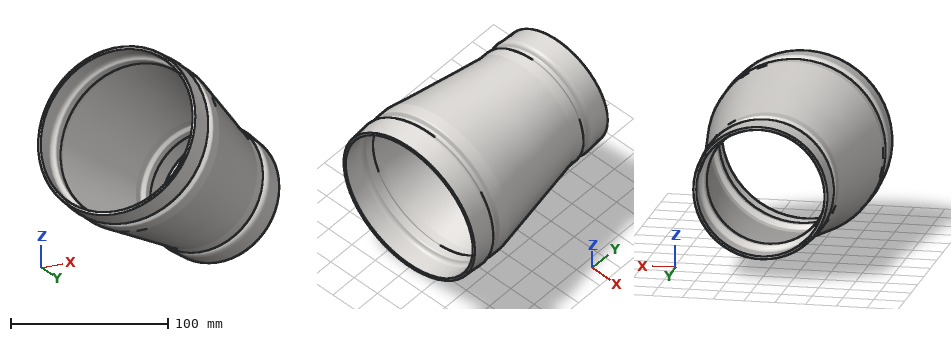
import cadquery as cq
import math

LENGTH = 139.7
WALL = 2.0

LARGE_DIAMETERS = (114.3, 114.8, 108.8)
SMALL_DIAMETERS = (88.8, 89.1, 83.1)
RIM_TAPER = 1.0

BEAD_START = 14.8
FLOOR_START = 19.8
FLOOR_END = 21.0
COLLAR_END = 31.9

BEAD_RADIUS = 4.0
FOOT_RADIUS = 1.19
CREST_RADIUS = 1.7
FLANK_ANGLE = math.radians(55)

INNER_RIM_SIDE_SHIFT = 1.3
INNER_BODY_SIDE_SHIFT = 2.1

CORNER_RADIUS = 3.1

UP = math.pi / 2
DOWN = -math.pi / 2


def point_on_arc(center, radius, angle):
    return (center[0] + radius * math.cos(angle), center[1] + radius * math.sin(angle))


def bead_and_floor(bead, floor, bead_start, floor_start):
    """Convex bead arc running tangent into a concave arc that ends level on the groove floor."""
    run, drop = floor_start - bead_start, bead - floor
    radius_sum = (run**2 + drop**2) / (2 * drop)
    hollow_radius = radius_sum - BEAD_RADIUS
    turn = math.asin(run / radius_sum)
    bead_center = (bead_start, bead - BEAD_RADIUS)
    hollow_center = (floor_start, floor + hollow_radius)
    bead_end = point_on_arc(bead_center, BEAD_RADIUS, UP - turn)
    return [
        (None, (bead_start, bead)),
        (point_on_arc(bead_center, BEAD_RADIUS, UP - turn / 2), bead_end),
        (point_on_arc(hollow_center, hollow_radius, DOWN - turn / 2), (floor_start, floor)),
    ]


def flank(floor, body, floor_end):
    """Flank rising from the floor to the body, with a concave foot and a convex crest."""
    round_sum = FOOT_RADIUS + CREST_RADIUS
    straight_rise = body - floor - round_sum * (1 - math.cos(FLANK_ANGLE))
    straight_run = straight_rise / math.tan(FLANK_ANGLE)
    crest_end = floor_end + round_sum * math.sin(FLANK_ANGLE) + straight_run
    foot_center = (floor_end, floor + FOOT_RADIUS)
    crest_center = (crest_end, body - CREST_RADIUS)
    foot_end = point_on_arc(foot_center, FOOT_RADIUS, DOWN + FLANK_ANGLE)
    crest_middle = point_on_arc(crest_center, CREST_RADIUS, UP + FLANK_ANGLE / 2)
    return [
        (None, (floor_end, floor)),
        (point_on_arc(foot_center, FOOT_RADIUS, DOWN + FLANK_ANGLE / 2), foot_end),
        (None, point_on_arc(crest_center, CREST_RADIUS, UP + FLANK_ANGLE)),
        (crest_middle, (crest_end, body)),
    ]


def end_profile(diameters, inset, rim_side_shift, body_side_shift):
    """Rim point and segments of one end, from the rim to the end of the collar."""
    body, bead, floor = [dia / 2 - inset for dia in diameters]
    segments = bead_and_floor(bead, floor, BEAD_START - rim_side_shift, FLOOR_START - rim_side_shift)
    segments += flank(floor, body, FLOOR_END + body_side_shift)
    segments.append((None, (COLLAR_END, body)))
    return (0.0, bead - RIM_TAPER), segments


def reversed_path(start, segments):
    """Start point and segments of the same path walked backwards."""
    points = [start] + [end for _, end in segments]
    middles = [middle for middle, _ in segments]
    return points[-1], list(zip(reversed(middles), reversed(points[:-1])))


def at_large_end(point):
    return (point[1], point[0])


def at_small_end(point):
    return (point[1], LENGTH - point[0])


def draw_path(sketch, start, segments, place):
    """Draw a line to the start and then all segments, placing each point at its end of the part."""
    sketch = sketch.lineTo(*place(start))
    for middle, end in segments:
        if middle is None:
            sketch = sketch.lineTo(*place(end))
        else:
            sketch = sketch.threePointArc(place(middle), place(end))
    return sketch


def turned_solid(inset=0.0, rim_side_shift=0.0, body_side_shift=0.0):
    """Solid of revolution of both ends and the cone between them, inset from the outside."""
    large_path = end_profile(LARGE_DIAMETERS, inset, rim_side_shift, body_side_shift)
    small_path = end_profile(SMALL_DIAMETERS, inset, rim_side_shift, body_side_shift)
    sketch = cq.Workplane("XY").moveTo(0, 0)
    sketch = draw_path(sketch, *large_path, at_large_end)
    sketch = draw_path(sketch, *reversed_path(*small_path), at_small_end)
    return sketch.lineTo(0, LENGTH).close().revolve(360, (0, 0, 0), (0, 1, 0))


def round_cone_corner(solid, y):
    """Round the circular edge centred on the axis at the given Y."""
    reach = 0.1
    edge = cq.selectors.BoxSelector((-reach, y - reach, -reach), (reach, y + reach, reach))
    return solid.edges(edge).fillet(CORNER_RADIUS)


outside = turned_solid()
for corner_y in (COLLAR_END, LENGTH - COLLAR_END):
    outside = round_cone_corner(outside, corner_y)

bore = turned_solid(WALL, INNER_RIM_SIDE_SHIFT, INNER_BODY_SIDE_SHIFT)
result = outside.cut(bore)